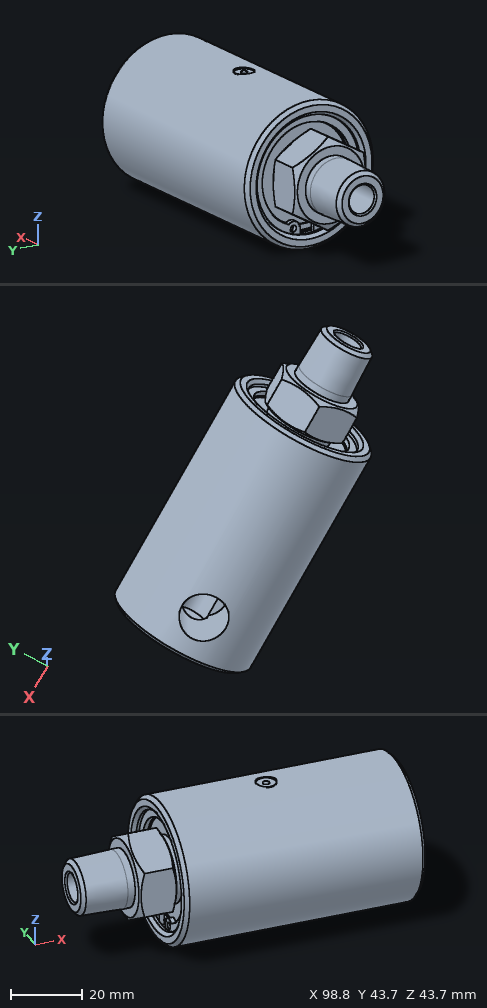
import cadquery as cq
import math

total_length = 98.8

housing_diameter = 43.7
housing_front = 25.7
housing_chamfer = 1.2
housing_radius = housing_diameter / 2

mouth_diameter = 37.2
recess_diameter = 35.1
mouth_chamfer = (mouth_diameter - recess_diameter) / 2

ring_front = 27.7
ring_thickness = 1.5
ring_inner_diameter = 30.4
groove_diameter = mouth_diameter
ring_back = ring_front + ring_thickness
ring_gap = 4.6
ear_diameter = 4.3
ear_hole_diameter = 2.0
ear_offset_y = 4.6
ear_offset_z = -15.3

race_chamfer = 0.8
race_inner_diameter = 30.1
shield_depth = 0.5
shield_face = ring_back + shield_depth

hex_across_flats = 24.0
hex_front = 15.8
hex_back = 27.3
hex_chamfer_diameter = 22.7
hex_chamfer_angle = 30.0
hex_corner_diameter = hex_across_flats / math.cos(math.pi / 6)

nipple_diameter = 17.2
thread_end = 13.5
thread_taper = 1 / 16
tip_diameter = 13.9
tip_chamfer = 1.1
neck_diameter = 19.9

bore_diameter = 8.5
bore_chamfer = 0.5
port_diameter = 13.9
port_x = 85.3
bore_end = 92.9

fitting_x = 59.1
fitting_diameter = 6.0
fitting_depth = 0.5
ball_cap_diameter = 2.0


def turned(points):
    """Solid of revolution about X from (x, radius) points."""
    return cq.Workplane("XY").polyline(points).close().revolve(360, (0, 0, 0), (1, 0, 0))


def make_neck():
    neck_length = shield_face - hex_back
    return cq.Workplane("YZ", origin=(hex_back, 0, 0)).circle(neck_diameter / 2).extrude(neck_length)


def make_housing():
    groove_radius = groove_diameter / 2
    recess_radius = recess_diameter / 2
    race_inner_radius = race_inner_diameter / 2
    return turned([
        (shield_face, 0),
        (shield_face, race_inner_radius),
        (ring_back, race_inner_radius),
        (ring_back, recess_radius - race_chamfer),
        (ring_back + race_chamfer, recess_radius),
        (ring_back, recess_radius),
        (ring_back, groove_radius),
        (ring_front, groove_radius),
        (ring_front, recess_radius),
        (housing_front + mouth_chamfer, recess_radius),
        (housing_front, mouth_diameter / 2),
        (housing_front, housing_radius - housing_chamfer),
        (housing_front + housing_chamfer, housing_radius),
        (total_length - housing_chamfer, housing_radius),
        (total_length, housing_radius - housing_chamfer),
        (total_length, 0),
    ])


def make_retaining_ring():
    plane = cq.Workplane("YZ", origin=(ring_front, 0, 0))
    ear_places = [(-ear_offset_y, ear_offset_z), (ear_offset_y, ear_offset_z)]
    ring = plane.circle(groove_diameter / 2).circle(ring_inner_diameter / 2).extrude(ring_thickness)
    ears = plane.pushPoints(ear_places).circle(ear_diameter / 2).extrude(ring_thickness)
    gap = plane.center(0, -groove_diameter / 4).rect(ring_gap, groove_diameter / 2).extrude(ring_thickness)
    holes = plane.pushPoints(ear_places).circle(ear_hole_diameter / 2).extrude(ring_thickness)
    return ring.union(ears).cut(gap).cut(holes)


def make_hexagon():
    blank = (
        cq.Workplane("YZ", origin=(hex_front, 0, 0))
        .polygon(6, hex_corner_diameter)
        .extrude(hex_back - hex_front)
        .rotate((0, 0, 0), (1, 0, 0), 90)
    )
    face_radius = hex_chamfer_diameter / 2
    corner_radius = hex_corner_diameter / 2
    chamfer_length = (corner_radius - face_radius) * math.tan(math.radians(hex_chamfer_angle))
    envelope = turned([
        (hex_front, 0),
        (hex_front, face_radius),
        (hex_front + chamfer_length, corner_radius),
        (hex_back - chamfer_length, corner_radius),
        (hex_back, face_radius),
        (hex_back, 0),
    ])
    return blank.intersect(envelope)


def make_nipple():
    thread_start_diameter = nipple_diameter - (thread_end - tip_chamfer) * thread_taper
    return turned([
        (0, 0),
        (0, tip_diameter / 2),
        (tip_chamfer, thread_start_diameter / 2),
        (thread_end, nipple_diameter / 2),
        (hex_front, nipple_diameter / 2),
        (hex_front, 0),
    ])


def make_passage():
    bore_radius = bore_diameter / 2
    bore = turned([
        (0, 0),
        (0, bore_radius + bore_chamfer),
        (bore_chamfer, bore_radius),
        (bore_end, bore_radius),
        (bore_end, 0),
    ])
    port = (
        cq.Workplane("XY", origin=(port_x, 0, -housing_radius))
        .circle(port_diameter / 2)
        .extrude(housing_radius)
    )
    return bore.union(port)


def add_grease_fitting(part):
    floor_z = housing_radius - fitting_depth
    cap_radius = ball_cap_diameter / 2
    pocket = (
        cq.Workplane("XY", origin=(fitting_x, 0, floor_z))
        .circle(fitting_diameter / 2)
        .extrude(fitting_depth)
    )
    ball_radius = (cap_radius**2 + fitting_depth**2) / (2 * fitting_depth)
    ball = cq.Workplane("XY", origin=(fitting_x, 0, housing_radius - ball_radius)).sphere(ball_radius)
    return part.cut(pocket).union(ball)


result = (
    make_housing()
    .union(make_retaining_ring())
    .union(make_neck())
    .union(make_hexagon())
    .union(make_nipple())
    .cut(make_passage())
)
result = add_grease_fitting(result)